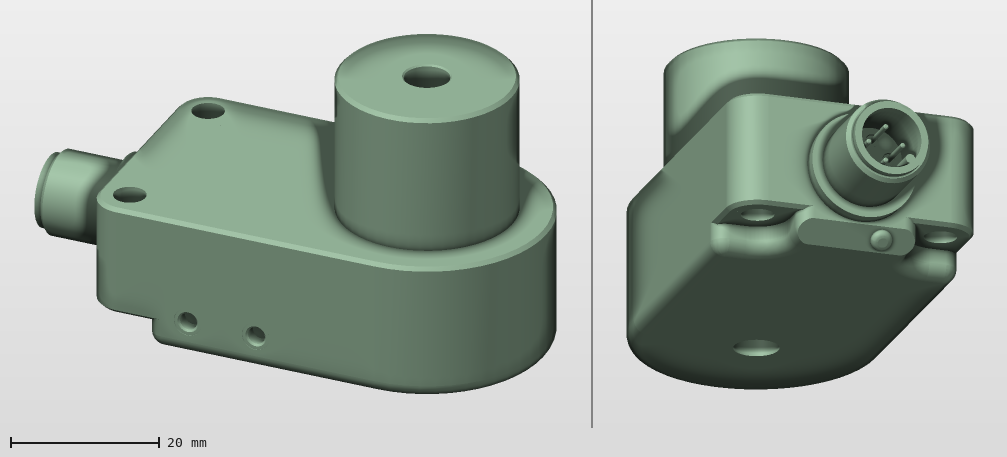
import cadquery as cq
import math


width = 35.0
half_width = width / 2
total_length = 73.0
housing_length = 59.9
housing_height = 20.0
corner_radius = 4.45
rim_chamfer = 0.5
back_x = -(housing_length - half_width)

foot_height = 4.0
foot_fillet = 2.0
clearance_radius = 4.5
clearance_lip_radius = 2.05
nose_chamfer = 2.8

sleeve_inset = corner_radius
sleeve_diameter = 6.1
screw_hole_diameter = 4.5
screw_x = back_x + sleeve_inset
screw_y = half_width - sleeve_inset

cover_depth = 1.45
cover_floor_z = housing_height - cover_depth
cover_back_margin = 1.1
cover_side_margin = 1.6
cover_end_radius = 16.4
cover_boss_radius = 4.5
tower_radius = 12.5
tower_height = 20.0
tower_chamfer = 0.5
bore_diameter = 6.3
bore_chamfer = 0.2

adjuster_xs = (-27.5, -17.5)
adjuster_z = 5.0
adjuster_seat_diameter = 4.0
adjuster_seat_depth = 0.1
adjuster_mouth_diameter = 3.0
adjuster_hole_diameter = 2.5
adjuster_hole_depth = 2.0

plug_z = 10.5
collar_diameter = 14.9
collar_length = 2.0
shell_diameter = 12.0
shell_chamfer = 0.5
neck_diameter = 10.45
neck_length = 1.0
socket_diameter = 8.5
socket_depth = 8.0
key_diameter = 1.3
key_offset = 3.8
key_angle = 225.0
pin_count = 4
pin_diameter = 0.7
pin_tip_diameter = 0.45
pin_setback = 2.2
pin_circle_radius = 2.4
pin_well_diameter = 1.8
pin_well_floor_diameter = 1.7
pin_well_depth = 0.2
plug_length = total_length - housing_length
plug_end_x = back_x - plug_length

lamp_diameter = 3.0
lamp_y = -3.5
lamp_stem_depth = 2.0
lamp_height = 1.0
lamp_fillet = 0.8


def on_circle(center, radius, angle):
    """Point on a circle, with the angle in degrees."""
    turn = math.radians(angle)
    return (center[0] + radius * math.cos(turn), center[1] + radius * math.sin(turn))


def x_cylinder(diameter, start_x, length, y=0, z=0):
    """Cylinder along +X."""
    return cq.Workplane("YZ", origin=(start_x, y, z)).circle(diameter / 2).extrude(length)


def z_cylinder(diameter, start_z, length, x=0, y=0):
    """Cylinder along +Z."""
    return cq.Workplane("XY", origin=(x, y, start_z)).circle(diameter / 2).extrude(length)


def make_upper_housing():
    """Upper housing: one round end, two rounded corners, chamfered above and below."""
    end_middle = on_circle((0, 0), half_width, 45)
    block = (
        cq.Workplane("XY", origin=(0, 0, foot_height))
        .moveTo(half_width, 0)
        .threePointArc(end_middle, (0, half_width))
        .lineTo(back_x, half_width)
        .lineTo(back_x, 0)
        .mirrorX()
        .extrude(housing_height - foot_height)
        .clean()
    )
    block = block.edges("|Z and <X").fillet(corner_radius)
    return block.faces("<Z or >Z").edges().chamfer(rim_chamfer)


def make_foot():
    """Lower housing, stepped inward around both screw axes, with a chamfered nose."""
    lip = clearance_lip_radius
    wall_x = screw_x + clearance_radius
    wall_y = screw_y - clearance_radius
    side_lip = (wall_x + lip, half_width - lip)
    back_lip = (back_x + lip, wall_y - lip)
    foot = (
        cq.Workplane("XY")
        .moveTo(half_width, 0)
        .threePointArc(on_circle((0, 0), half_width, 45), (0, half_width))
        .lineTo(side_lip[0], half_width)
        .threePointArc(on_circle(side_lip, lip, 135), (wall_x, side_lip[1]))
        .lineTo(wall_x, screw_y)
        .threePointArc(on_circle((screw_x, screw_y), clearance_radius, -45), (screw_x, wall_y))
        .lineTo(back_lip[0], wall_y)
        .threePointArc(on_circle(back_lip, lip, 135), (back_x, back_lip[1]))
        .lineTo(back_x, 0)
        .mirrorX()
        .extrude(foot_height + rim_chamfer)
        .clean()
    )
    foot = foot.faces("<Z").edges().fillet(foot_fillet)
    nose_cut = (
        cq.Workplane("XZ")
        .polyline([(back_x, 0), (back_x + nose_chamfer, 0), (back_x, nose_chamfer)])
        .close()
        .extrude(half_width, both=True)
    )
    return foot.cut(nose_cut)


def make_adjuster_hole(x):
    """Blind hole in the -Y side with a shallow seat and a countersunk mouth."""
    seat_radius = adjuster_seat_diameter / 2
    mouth_radius = adjuster_mouth_diameter / 2
    hole_radius = adjuster_hole_diameter / 2
    countersink_depth = adjuster_seat_depth + mouth_radius - hole_radius
    return (
        cq.Workplane("XY", origin=(x, -half_width, adjuster_z))
        .polyline([
            (0, 0),
            (seat_radius, 0),
            (seat_radius, adjuster_seat_depth),
            (mouth_radius, adjuster_seat_depth),
            (hole_radius, countersink_depth),
            (hole_radius, adjuster_hole_depth),
            (0, adjuster_hole_depth),
        ])
        .close()
        .revolve(360, (0, 0, 0), (0, 1, 0))
    )


def make_cover_plate():
    """Plate inside the housing rim, notched around both sleeves and round at the tower end."""
    plate_back_x = back_x + cover_back_margin
    plate_half_width = half_width - cover_side_margin
    end_start_x = -math.sqrt(cover_end_radius**2 - plate_half_width**2)
    notch_middle = on_circle((screw_x, screw_y), cover_boss_radius, -45)
    return (
        cq.Workplane("XY", origin=(0, 0, cover_floor_z))
        .moveTo(cover_end_radius, 0)
        .threePointArc((0, cover_end_radius), (end_start_x, plate_half_width))
        .lineTo(screw_x + cover_boss_radius, plate_half_width)
        .lineTo(screw_x + cover_boss_radius, screw_y)
        .threePointArc(notch_middle, (screw_x, screw_y - cover_boss_radius))
        .lineTo(plate_back_x, screw_y - cover_boss_radius)
        .lineTo(plate_back_x, 0)
        .mirrorX()
        .extrude(cover_depth)
        .clean()
    )


def make_cover():
    """Cover plate and bored tower in one piece."""
    tower = z_cylinder(2 * tower_radius, cover_floor_z, cover_depth + tower_height)
    tower = tower.faces(">Z").edges().chamfer(tower_chamfer)
    bore = z_cylinder(bore_diameter, cover_floor_z, cover_depth + tower_height)
    cover = make_cover_plate().union(tower).cut(bore)
    return cover.faces(">Z").edges(cq.selectors.RadiusNthSelector(0)).chamfer(bore_chamfer)


def make_sleeve(y):
    """Sleeve lining one screw hole, from the clearance roof to the housing top."""
    length = housing_height - foot_height
    sleeve = z_cylinder(sleeve_diameter, foot_height, length, screw_x, y)
    return sleeve.cut(z_cylinder(screw_hole_diameter, foot_height, length, screw_x, y))


def make_lamp():
    """Round stem with a rounded head, square to the nose chamfer."""
    middle = nose_chamfer / 2
    face = cq.Plane(origin=(back_x + middle, lamp_y, middle), xDir=(0, 1, 0), normal=(-1, 0, -1))
    lamp = (
        cq.Workplane(face)
        .workplane(offset=-lamp_stem_depth)
        .circle(lamp_diameter / 2)
        .extrude(lamp_stem_depth + lamp_height)
    )
    return lamp.faces(cq.selectors.DirectionMinMaxSelector(face.zDir)).edges().fillet(lamp_fillet)


def make_socket():
    """Socket cavity, with the full-length key left standing on its wall."""
    key_y, key_z = on_circle((0, plug_z), key_offset, key_angle)
    socket = x_cylinder(socket_diameter, plug_end_x, socket_depth, z=plug_z)
    return socket.cut(x_cylinder(key_diameter, plug_end_x, socket_depth, key_y, key_z))


def make_pin_well(y, z):
    """Shallow tapered well in the socket floor around one contact pin."""
    taper = math.degrees(math.atan((pin_well_diameter - pin_well_floor_diameter) / 2 / pin_well_depth))
    return (
        cq.Workplane("YZ", origin=(plug_end_x + socket_depth, y, z))
        .circle(pin_well_diameter / 2)
        .extrude(pin_well_depth, taper=taper)
    )


def make_pin(y, z):
    """Contact pin with a chamfered tip, rising from the floor of its well."""
    length = socket_depth + pin_well_depth - pin_setback
    pin = x_cylinder(pin_diameter, plug_end_x + pin_setback, length, y, z)
    return pin.faces("<X").edges().chamfer((pin_diameter - pin_tip_diameter) / 2)


def make_connector():
    """Plug shell and collar with a keyed socket and a ring of contact pins."""
    plug = x_cylinder(neck_diameter, plug_end_x, plug_length, z=plug_z)
    shell = x_cylinder(shell_diameter, plug_end_x + neck_length, plug_length - neck_length, z=plug_z)
    plug = plug.union(shell.faces("<X").edges().chamfer(shell_chamfer))
    plug = plug.union(x_cylinder(collar_diameter, back_x - collar_length, collar_length, z=plug_z))
    plug = plug.cut(make_socket())

    for index in range(pin_count):
        pin_y, pin_z = on_circle((0, plug_z), pin_circle_radius, index * 360 / pin_count)
        plug = plug.cut(make_pin_well(pin_y, pin_z)).union(make_pin(pin_y, pin_z))
    return plug


connector = make_connector()
cover = make_cover()
lamp = make_lamp()
sleeves = [make_sleeve(y) for y in (-screw_y, screw_y)]

housing = make_upper_housing().union(make_foot())
housing = housing.cut(make_cover_plate())
housing = housing.cut(z_cylinder(bore_diameter, 0, housing_height))
housing = housing.cut(lamp)
for y in (-screw_y, screw_y):
    housing = housing.cut(z_cylinder(sleeve_diameter, 0, housing_height, screw_x, y))
for x in adjuster_xs:
    housing = housing.cut(make_adjuster_hole(x))

result = cq.Compound.makeCompound([
    housing.val(),
    cover.val(),
    connector.val(),
    lamp.val(),
    *[sleeve.val() for sleeve in sleeves],
])